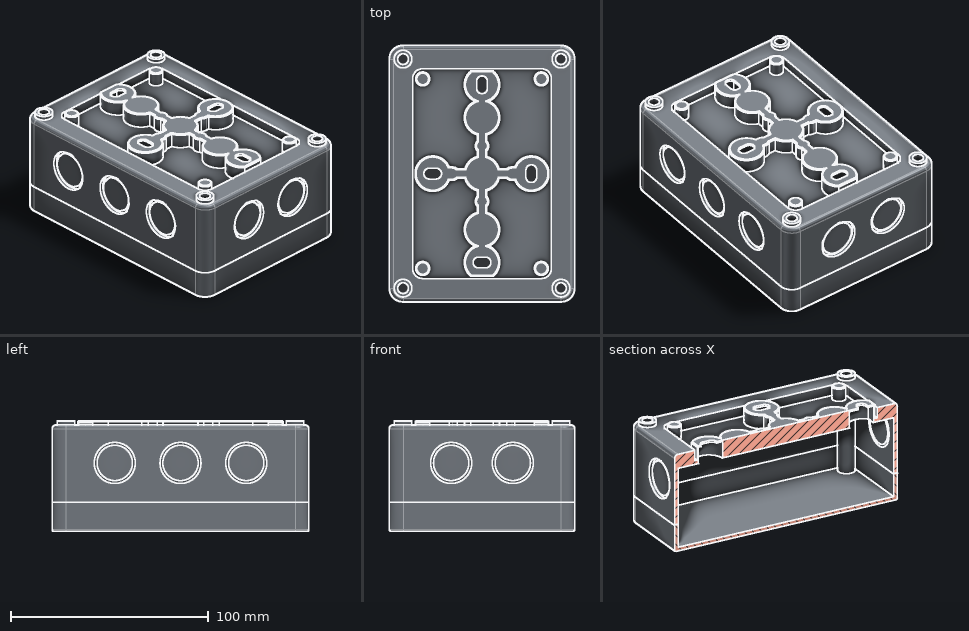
import cadquery as cq
LENGTH_X = 94.0
LENGTH_Y = 130.0
TOTAL_HEIGHT = 56.0
BOX_TOP = 54.0
LID_HEIGHT = 14.8
CORNER_RADIUS = 7.0
WALL = 2.3
BOX_TOP_FILLET = 2.0
LID_BOTTOM_FILLET = 1.0

RECESS_X = 70.2
RECESS_Y = 106.2
RECESS_RADIUS = 10.0 / 2
RECESS_FLOOR = 48.2

SLEEVE_DIAMETER = 9.0
SLEEVE_BORE = 5.5
SLEEVE_X = LENGTH_X / 2 - CORNER_RADIUS
SLEEVE_Y = LENGTH_Y / 2 - CORNER_RADIUS

PEG_DIAMETER = 7.0
PEG_TOP = 55.5
PEG_X = 30.0
PEG_Y = 48.0

PAD_DIAMETER = 18.0
SIDE_PAD_X = 25.0
INNER_PAD_Y = 28.3
END_PAD_Y = 45.0
END_FLAT_Y = 52.0
NECK_WIDTH = 4.8
NECK_BULGE_DIAMETER = 6.8
NECK_BULGE_Y = 14.0
WIDE_NECK_START_X = 11.6
EDGE_CHAMFER = 0.5

PAD_WALL = 1.0
PAD_TOP_THICKNESS = 1.0
SLOT_LENGTH = 9.0
SLOT_WIDTH = 5.5

KNOCKOUT_DIAMETER = 20.8
DISC_DIAMETER = 18.0
DISC_DEPTH = 1.0
GROOVE_DEPTH = 2.0
KNOCKOUT_Z = 34.7
END_KNOCKOUT_X = 15.6
SIDE_KNOCKOUT_SPACING = 33.3


def four_corners(x, y):
    return [(sx * x, sy * y) for sx in (-1, 1) for sy in (-1, 1)]


def rounded_block(size_x, size_y, radius, bottom, top):
    block = cq.Workplane("XY", origin=(0, 0, bottom)).rect(size_x, size_y).extrude(top - bottom)
    return block.edges("|Z").fillet(radius)


def recess_plane(x=0, y=0):
    return cq.Workplane("XY", origin=(x, y, RECESS_FLOOR))


def raised(outline):
    """Extrude an outline on the recess floor to the full height."""
    return outline.extrude(TOTAL_HEIGHT - RECESS_FLOOR)


def chamfer_top(block):
    return block.faces(">Z").edges().chamfer(EDGE_CHAMFER)


def round_pad(x, y, diameter=PAD_DIAMETER):
    return chamfer_top(raised(recess_plane(x, y).circle(diameter / 2)))


def end_pad(side):
    """Round pad cut flat on the side that faces the end of the recess."""
    disc = raised(recess_plane(0, side * END_PAD_Y).circle(PAD_DIAMETER / 2))
    return chamfer_top(disc.intersect(raised(recess_plane().rect(LENGTH_X, 2 * END_FLAT_Y))))


def wide_neck(side):
    """Wider stretch of a side neck, with a round inner end, reaching the middle of its pad."""
    middle_x = side * (SIDE_PAD_X + WIDE_NECK_START_X) / 2
    outline = recess_plane(middle_x, 0).slot2D(SIDE_PAD_X - WIDE_NECK_START_X, NECK_BULGE_DIAMETER)
    return chamfer_top(raised(outline))


def pad_cross():
    """Pads and necks rising from the recess floor."""
    cross = chamfer_top(raised(recess_plane().rect(NECK_WIDTH, 2 * END_PAD_Y)))
    cross = cross.union(chamfer_top(raised(recess_plane().rect(2 * SIDE_PAD_X, NECK_WIDTH))))
    cross = cross.union(round_pad(0, 0))
    for side in (-1, 1):
        cross = cross.union(round_pad(0, side * NECK_BULGE_Y, NECK_BULGE_DIAMETER))
        cross = cross.union(round_pad(0, side * INNER_PAD_Y))
        cross = cross.union(end_pad(side))
        cross = cross.union(wide_neck(side))
        cross = cross.union(round_pad(side * SIDE_PAD_X, 0))
    return cross


def pegs():
    outlines = recess_plane().pushPoints(four_corners(PEG_X, PEG_Y)).circle(PEG_DIAMETER / 2)
    return chamfer_top(outlines.extrude(PEG_TOP - RECESS_FLOOR))


def outer_pad_hollows():
    """Cutters for the outer pads, open to the inside of the box."""
    bottom = RECESS_FLOOR - WALL
    height = TOTAL_HEIGHT - PAD_TOP_THICKNESS - bottom
    plane = cq.Workplane("XY", origin=(0, 0, bottom))
    centers = [(-SIDE_PAD_X, 0), (SIDE_PAD_X, 0), (0, -END_PAD_Y), (0, END_PAD_Y)]
    discs = plane.pushPoints(centers).circle(PAD_DIAMETER / 2 - PAD_WALL).extrude(height)
    return discs.intersect(plane.rect(LENGTH_X, 2 * (END_FLAT_Y - PAD_WALL)).extrude(height))


def mounting_slots():
    """Slot cutters through the pad tops, two along X and two along Y."""
    plane = cq.Workplane("XY", origin=(0, 0, TOTAL_HEIGHT))
    along_x = plane.pushPoints([(-SIDE_PAD_X, 0), (0, -END_PAD_Y)])
    slots_x = along_x.slot2D(SLOT_LENGTH, SLOT_WIDTH, 0).extrude(-PAD_TOP_THICKNESS)
    along_y = plane.pushPoints([(SIDE_PAD_X, 0), (0, END_PAD_Y)])
    slots_y = along_y.slot2D(SLOT_LENGTH, SLOT_WIDTH, 90).extrude(-PAD_TOP_THICKNESS)
    return slots_x.union(slots_y)


def knockout(position, inward):
    """Cutter that leaves a sunken disc with a deeper groove around it."""
    plane = cq.Plane(origin=position, normal=inward)
    pocket = cq.Workplane(plane).circle(KNOCKOUT_DIAMETER / 2).extrude(DISC_DEPTH)
    rings = cq.Workplane(plane).circle(KNOCKOUT_DIAMETER / 2).circle(DISC_DIAMETER / 2)
    return pocket.union(rings.extrude(GROOVE_DEPTH))


def knockouts():
    cutters = []
    for side in (-1, 1):
        for x in (-END_KNOCKOUT_X, END_KNOCKOUT_X):
            cutters.append(knockout((x, side * LENGTH_Y / 2, KNOCKOUT_Z), (0, -side, 0)))
        for y in (-SIDE_KNOCKOUT_SPACING, 0, SIDE_KNOCKOUT_SPACING):
            cutters.append(knockout((side * LENGTH_X / 2, y, KNOCKOUT_Z), (-side, 0, 0)))
    return cutters


def cavity(bottom, top):
    """Inside of the enclosure, one wall thickness in from the outer faces."""
    return rounded_block(LENGTH_X - 2 * WALL, LENGTH_Y - 2 * WALL, CORNER_RADIUS - WALL, bottom, top)


def make_box():
    box = rounded_block(LENGTH_X, LENGTH_Y, CORNER_RADIUS, LID_HEIGHT, BOX_TOP)
    box = box.faces(">Z").edges().fillet(BOX_TOP_FILLET)
    box = box.cut(cavity(LID_HEIGHT, RECESS_FLOOR - WALL))
    box = box.cut(rounded_block(RECESS_X, RECESS_Y, RECESS_RADIUS, RECESS_FLOOR, BOX_TOP))
    box = box.union(pad_cross()).union(pegs())
    box = box.cut(outer_pad_hollows()).cut(mounting_slots())
    for cutter in knockouts():
        box = box.cut(cutter)
    for x, y in four_corners(SLEEVE_X, SLEEVE_Y):
        hole = cq.Workplane("XY", origin=(x, y, LID_HEIGHT)).circle(SLEEVE_DIAMETER / 2)
        box = box.cut(hole.extrude(BOX_TOP - LID_HEIGHT))
    return box


def make_lid():
    lid = rounded_block(LENGTH_X, LENGTH_Y, CORNER_RADIUS, 0, LID_HEIGHT)
    lid = lid.faces("<Z").edges().fillet(LID_BOTTOM_FILLET)
    return lid.cut(cavity(WALL, LID_HEIGHT))


def make_sleeve(x, y):
    """Tube that stands on the lid floor and ends above the box top as a raised foot."""
    base = cq.Workplane("XY", origin=(x, y, WALL))
    rings = base.circle(SLEEVE_DIAMETER / 2).circle(SLEEVE_BORE / 2)
    return rings.extrude(TOTAL_HEIGHT - WALL)


box = make_box()
lid = make_lid()
sleeves = [make_sleeve(x, y) for x, y in four_corners(SLEEVE_X, SLEEVE_Y)]

bodies = [box, lid, *sleeves]
result = cq.Compound.makeCompound([body.solids().val() for body in bodies])